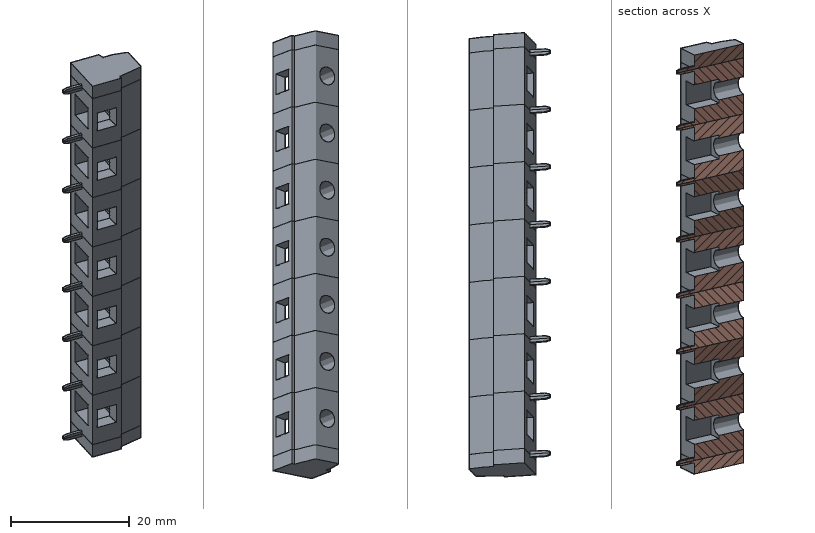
import cadquery as cq

length = 75.0
width = 8.1
depth = 13.5
pole_count = 7
end_share = 0.25
pitch = length / (pole_count + 2 * end_share)
end_length = end_share * pitch
top_joint = length - end_length

housing_depth = 10.05
left_shoulder_outer = 5.3
left_shoulder_inner = 5.6
right_shoulder = 5.5
left_wall_x = -3.0
left_wall_top = 7.4
right_wall_x = 3.45
crown_half_width = 2.5
crown_fillet = 0.3

pocket_width = 4.7
pocket_height = 4.2
pocket_depth = 5.0
screw_hole_diameter = 3.1
window_size = 2.8
window_mouth_size = 3.6
window_lip = 0.3
window_y = 2.7

pin_width = 0.5
pin_height = 1.0
pin_length = depth - housing_depth
tip_length = 0.75
tip_height = 0.5


def housing_block(bottom, height):
    """Plain stretch of the housing profile, starting at the given Z."""
    half_width = width / 2
    outline = [
        (-half_width, 0),
        (half_width, 0),
        (half_width, right_shoulder),
        (right_wall_x, right_shoulder),
        (crown_half_width, housing_depth),
        (-crown_half_width, housing_depth),
        (left_wall_x, left_wall_top),
        (left_wall_x, left_shoulder_inner),
        (-half_width, left_shoulder_outer),
    ]
    block = cq.Workplane("XY").polyline(outline).close().extrude(height)
    return block.edges("|Z and >Y").fillet(crown_fillet).translate((0, 0, bottom))


def half_pin(joint_z, side):
    """Half of a tapered flat pin: above the joint for side = 1, below it for side = -1."""
    tip_start = tip_length - pin_length
    outline = [
        (0, 0),
        (0, side * pin_height / 2),
        (tip_start, side * pin_height / 2),
        (-pin_length, side * tip_height / 2),
        (-pin_length, 0),
    ]
    pin = cq.Workplane("YZ").polyline(outline).close().extrude(pin_width / 2, both=True)
    return pin.translate((0, 0, joint_z))


def wire_window():
    """Square window from the pocket to the +X side, straight for a short lip and then flared."""
    flare_start = pocket_width / 2 + window_lip
    throat = cq.Workplane("YZ").center(window_y, 0).rect(window_size, window_size).extrude(flare_start)
    flare = (
        cq.Workplane("YZ", origin=(flare_start, window_y, 0))
        .rect(window_size, window_size)
        .workplane(offset=width / 2 - flare_start)
        .rect(window_mouth_size, window_mouth_size)
        .loft(ruled=True)
    )
    return throat.union(flare)


def pole_openings(center_z):
    """Front pocket, screw hole on through the back, and wire window to the +X side."""
    pocket = cq.Workplane("XY").box(pocket_width, pocket_depth, pocket_height, centered=(True, False, True))
    screw_hole = cq.Workplane("XZ").circle(screw_hole_diameter / 2).extrude(-housing_depth)
    return pocket.union(screw_hole).union(wire_window()).translate((0, 0, center_z))


def pole_block(index):
    """Block between two joints, with its openings and half a pin at each joint."""
    low_joint = end_length + index * pitch
    high_joint = low_joint + pitch
    block = housing_block(low_joint, pitch).cut(pole_openings(low_joint + pitch / 2))
    return block.union(half_pin(low_joint, 1)).union(half_pin(high_joint, -1))


def end_block(bottom, joint_z, pin_side):
    """Short plain block at one end of the strip, with half a pin at its joint."""
    return housing_block(bottom, end_length).union(half_pin(joint_z, pin_side))


bottom_end = end_block(0, end_length, -1)
top_end = end_block(top_joint, top_joint, 1)
pole_blocks = [pole_block(index).val() for index in range(pole_count)]

result = cq.Compound.makeCompound([bottom_end.val(), *pole_blocks, top_end.val()])